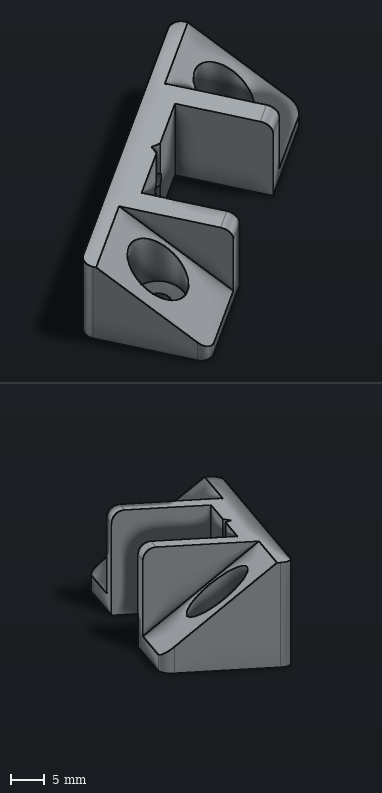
import cadquery as cq

depth = 20.0
length = 50.0
height = 16.0
corner_radius = 2.0

back_wall = 5.0
channel_width = 18.2
rib_outer_span = 25.0
notch_depth = 1.0

slope_start = 2.5
ear_front_height = 2.5

screw_spacing = 36.0
screw_x = depth / 2
screw_diameter = 4.2
counterbore_diameter = 9.0
counterbore_floor = 2.5
cross_hole_diameter = 3.2


def make_block():
    """Block with rounded outer corners and rounded upper front edge."""
    block = cq.Workplane("XY").box(depth, length, height, centered=(False, True, False))
    block = block.edges("|Z").fillet(corner_radius)
    profile = (
        cq.Workplane("XY")
        .box(depth, length, height, centered=(False, True, False))
        .edges(">X and >Z")
        .fillet(corner_radius)
    )
    return block.intersect(profile)


def make_channel():
    """Open channel with a vertical V notch in the middle of its back face."""
    half_width = channel_width / 2
    return (
        cq.Workplane("XY")
        .moveTo(depth, -half_width)
        .lineTo(back_wall, -half_width)
        .lineTo(back_wall, -notch_depth)
        .lineTo(back_wall - notch_depth, 0)
        .lineTo(back_wall, notch_depth)
        .lineTo(back_wall, half_width)
        .lineTo(depth, half_width)
        .close()
        .extrude(height)
    )


def make_ear_wedge(side):
    """Wedge removed above one ear; side is +1 or -1 along Y."""
    wedge_length = (length - rib_outer_span) / 2
    wedge_center = side * (length + rib_outer_span) / 4
    return (
        cq.Workplane("XZ")
        .polyline([(slope_start, height), (depth, height), (depth, ear_front_height)])
        .close()
        .extrude(wedge_length / 2, both=True)
        .translate((0, wedge_center, 0))
    )


def make_screw_hole(side):
    """Counterbored vertical screw hole through one ear."""
    center = (screw_x, side * screw_spacing / 2)
    shank = cq.Workplane("XY").center(*center).circle(screw_diameter / 2).extrude(height)
    head = (
        cq.Workplane("XY", origin=(0, 0, counterbore_floor))
        .center(*center)
        .circle(counterbore_diameter / 2)
        .extrude(height - counterbore_floor)
    )
    return shank.union(head)


def make_cross_hole():
    """Horizontal hole through the back wall at mid height."""
    return (
        cq.Workplane("YZ")
        .center(0, height / 2)
        .circle(cross_hole_diameter / 2)
        .extrude(back_wall)
    )


result = make_block().cut(make_channel()).cut(make_cross_hole())
for side in (-1, 1):
    result = result.cut(make_ear_wedge(side)).cut(make_screw_hole(side))